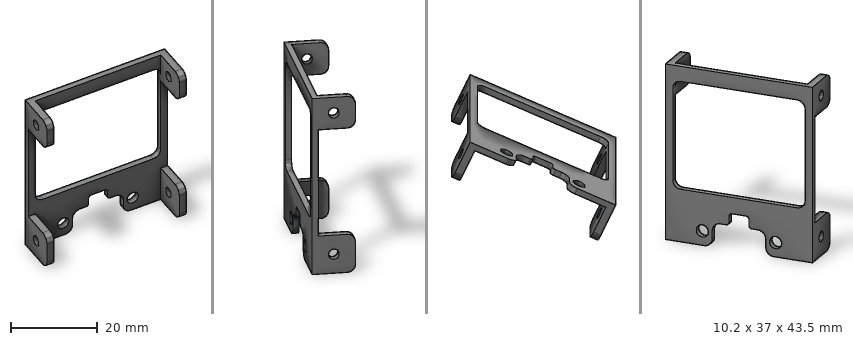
import cadquery as cq

depth = 10.2
width = 37.0
height = 43.5
plate_thickness = 1.5
tab_thickness = 1.85
corner_radius = 2.0

upper_tab_height = 7.85
lower_tab_height = 9.45
tab_hole_diameter = 2.5
tab_hole_x = depth / 2
upper_hole_z = height - 3.85
lower_hole_z = lower_tab_height / 2

window_width = width - 2 * tab_thickness
window_bottom = 13.05
window_top = 39.75

notch_width = 13.5
notch_height = 6.0
slot_width = 5.0
slot_top = 8.95
slot_radius = 0.75
plate_hole_diameter = 3.0
plate_hole_spacing = 18.45
plate_hole_z = 3.55


def make_plate():
    """Face plate with its outer face at X = 0, centred on Y, standing on Z = 0."""
    return cq.Workplane("XY").box(plate_thickness, width, height, centered=(False, True, False))


def make_tab(bottom, tab_height):
    """Tab with rounded free corners, on the -Y side of the plate."""
    return (
        cq.Workplane("XY")
        .box(depth, tab_thickness, tab_height, centered=False)
        .edges("|Y and >X")
        .fillet(corner_radius)
        .translate((0, -width / 2, bottom))
    )


def cut_tab_holes(body):
    """Drill through both side tabs at each height."""
    holes = (
        cq.Workplane("XZ")
        .pushPoints([(tab_hole_x, upper_hole_z), (tab_hole_x, lower_hole_z)])
        .circle(tab_hole_diameter / 2)
        .extrude(width / 2, both=True)
    )
    return body.cut(holes)


def cut_window(body):
    """Rounded rectangular opening through the plate, flush with the inner tab faces."""
    window_height = window_top - window_bottom
    window = (
        cq.Workplane("YZ")
        .center(0, window_bottom + window_height / 2)
        .rect(window_width, window_height)
        .extrude(plate_thickness)
        .edges("|X")
        .fillet(corner_radius)
    )
    return body.cut(window)


def cut_notch(body):
    """Stepped notch whose mouth, shoulders and slot all have rounded corners."""
    half_notch = notch_width / 2
    half_slot = slot_width / 2
    half_mouth = half_notch + corner_radius
    notch = (
        cq.Workplane("YZ")
        .moveTo(-half_mouth, 0)
        .radiusArc((-half_notch, corner_radius), -corner_radius)
        .lineTo(-half_notch, notch_height - corner_radius)
        .radiusArc((-half_notch + corner_radius, notch_height), corner_radius)
        .lineTo(-half_slot - slot_radius, notch_height)
        .radiusArc((-half_slot, notch_height + slot_radius), -slot_radius)
        .lineTo(-half_slot, slot_top - slot_radius)
        .radiusArc((-half_slot + slot_radius, slot_top), slot_radius)
        .lineTo(0, slot_top)
        .lineTo(0, 0)
        .close()
        .extrude(plate_thickness)
    )
    return body.cut(notch).cut(notch.mirror("XZ"))


def cut_plate_holes(body):
    """Pair of holes through the plate, one on each side of the notch."""
    holes = (
        cq.Workplane("YZ")
        .pushPoints([(side * plate_hole_spacing / 2, plate_hole_z) for side in (-1, 1)])
        .circle(plate_hole_diameter / 2)
        .extrude(plate_thickness)
    )
    return body.cut(holes)


result = make_plate()
for bottom, tab_height in ((0, lower_tab_height), (height - upper_tab_height, upper_tab_height)):
    tab = make_tab(bottom, tab_height)
    result = result.union(tab).union(tab.mirror("XZ"))
result = cut_tab_holes(result)
result = cut_window(result)
result = cut_notch(result)
result = cut_plate_holes(result)